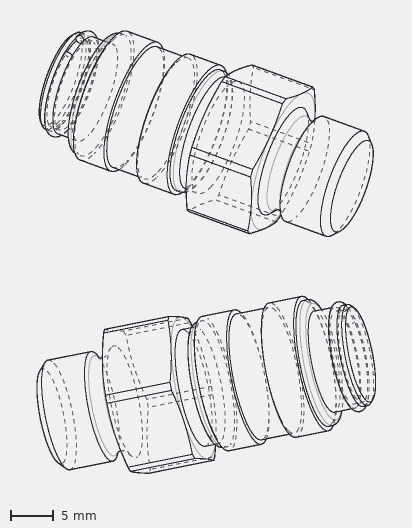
import cadquery as cq
import math


total_length = 38.15

nose_diameter = 12.15
nose_face_diameter = 11.4
nose_chamfer = (nose_diameter - nose_face_diameter) / 2
ring_outer_diameter = 13.15
groove_floor_diameter = 11.15
groove_start = 0.95

wire_diameter = (ring_outer_diameter - groove_floor_diameter) / 2
ring_mean_radius = (ring_outer_diameter - wire_diameter) / 2
ring_center_x = groove_start + wire_diameter / 2
gap_start_angle = 8.5
gap_end_angle = 21.0

sleeve_start = 4.5
sleeve_end = 19.05
sleeve_diameter = 15.1
neck_diameter = 14.0
sleeve_fillet = (sleeve_diameter - neck_diameter) / 2
band_diameter = 16.15
band_starts = (5.55, 13.8)
band_base_length = 4.25
band_flank = 0.1

hex_start = 20.65
hex_end = 29.15
hex_across_flats = 17.0
hex_corner_diameter = 19.1
hex_tilt = 5.0
hex_bevel = 0.25

undercut_bottom_x = 30.75
undercut_diameter = 11.15
undercut_radius = 1.15
hex_side_angle = math.radians(45)
end_side_angle = math.radians(52)

end_start = 31.97
end_diameter = 13.15
end_face_diameter = 11.4
end_chamfer = (end_diameter - end_face_diameter) / 2


def revolve_profile(profile):
    """Close a profile of X position and radius, and turn it around the X axis."""
    return profile.close().revolve(360, (0, 0, 0), (1, 0, 0))


def cylinder(start, end, diameter):
    return cq.Workplane("YZ", origin=(start, 0, 0)).circle(diameter / 2).extrude(end - start)


def make_nose():
    nose = cylinder(0, sleeve_start, nose_diameter).faces("<X").chamfer(nose_chamfer)
    groove_end = groove_start + wire_diameter
    groove = cylinder(groove_start, groove_end, ring_outer_diameter)
    groove = groove.cut(cylinder(groove_start, groove_end, groove_floor_diameter))
    return nose.cut(groove)


def make_sleeve():
    sleeve = cylinder(sleeve_start, sleeve_end, sleeve_diameter)
    return sleeve.faces("<X or >X").edges().fillet(sleeve_fillet)


def make_band(start):
    end = start + band_base_length
    profile = (
        cq.Workplane("XZ")
        .moveTo(start, 0)
        .lineTo(start, sleeve_diameter / 2)
        .lineTo(start + band_flank, band_diameter / 2)
        .lineTo(end - band_flank, band_diameter / 2)
        .lineTo(end, sleeve_diameter / 2)
        .lineTo(end, 0)
    )
    return revolve_profile(profile)


def make_hexagon():
    """Hexagonal prism with its corners turned round and both ends bevelled."""
    point_diameter = hex_across_flats / math.cos(math.radians(30))
    prism = (
        cq.Workplane("YZ", origin=(hex_start, 0, 0))
        .polygon(6, point_diameter)
        .extrude(hex_end - hex_start)
        .rotate((0, 0, 0), (1, 0, 0), 90 - hex_tilt)
    )
    profile = (
        cq.Workplane("XZ")
        .moveTo(hex_start, 0)
        .lineTo(hex_start, hex_across_flats / 2)
        .lineTo(hex_start + hex_bevel, hex_corner_diameter / 2)
        .lineTo(hex_end - hex_bevel, hex_corner_diameter / 2)
        .lineTo(hex_end, hex_across_flats / 2)
        .lineTo(hex_end, 0)
    )
    return prism.intersect(revolve_profile(profile))


def make_threaded_end():
    """Undercut with conical sides and a round bottom, followed by the chamfered end cylinder."""
    arc_center_radius = undercut_diameter / 2 + undercut_radius
    arc_start_x = undercut_bottom_x - undercut_radius * math.sin(hex_side_angle)
    arc_start_radius = arc_center_radius - undercut_radius * math.cos(hex_side_angle)
    arc_end_x = undercut_bottom_x + undercut_radius * math.sin(end_side_angle)
    arc_end_radius = arc_center_radius - undercut_radius * math.cos(end_side_angle)
    cone_radius = arc_start_radius + (arc_start_x - hex_end) * math.tan(hex_side_angle)
    profile = (
        cq.Workplane("XZ")
        .moveTo(hex_end, 0)
        .lineTo(hex_end, cone_radius)
        .lineTo(arc_start_x, arc_start_radius)
        .threePointArc((undercut_bottom_x, undercut_diameter / 2), (arc_end_x, arc_end_radius))
        .lineTo(end_start, end_diameter / 2)
        .lineTo(total_length - end_chamfer, end_diameter / 2)
        .lineTo(total_length, end_face_diameter / 2)
        .lineTo(total_length, 0)
    )
    return revolve_profile(profile)


def make_body():
    body = make_nose().union(make_sleeve())
    for start in band_starts:
        body = body.union(make_band(start))
    neck = cylinder(sleeve_end, hex_start, neck_diameter)
    return body.union(neck).union(make_hexagon()).union(make_threaded_end())


def make_snap_ring():
    sweep_angle = 360 - gap_start_angle - gap_end_angle
    return (
        cq.Workplane("XZ")
        .center(ring_center_x, ring_mean_radius)
        .circle(wire_diameter / 2)
        .revolve(sweep_angle, (0, -ring_mean_radius, 0), (1, -ring_mean_radius, 0))
        .rotate((0, 0, 0), (1, 0, 0), gap_start_angle)
    )


body = make_body()
snap_ring = make_snap_ring()
result = cq.Compound.makeCompound([body.solids().val(), snap_ring.val()])